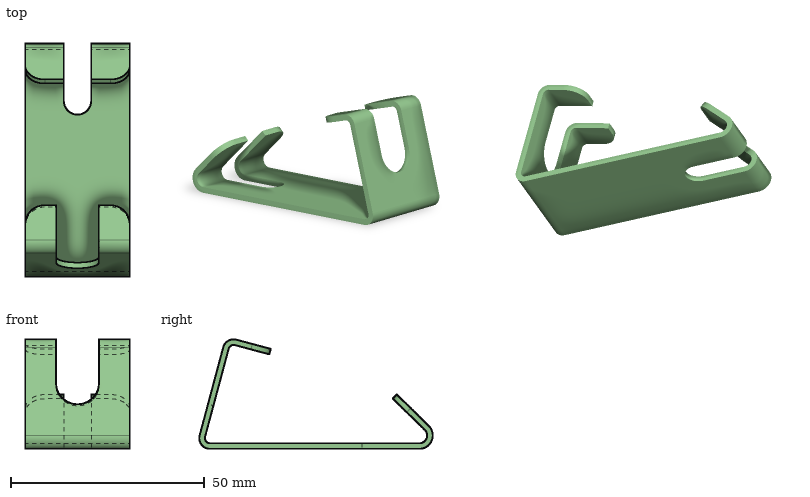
import cadquery as cq
import math

width = 27.0
thickness = 1.5
base_flat = 54.05

wall_lean = 15.0
wall_length = 30.0
lip_length = 12.0
front_bend_radius = 2.8

rear_rise = 44.4
rear_flat = 11.6
rear_bend_radius = 3.5

tip_corner_radius = 5.0

front_slot_width = 11.0
front_slot_floor = 12.0
rear_slot_width = 7.0
rear_slot_depth = 18.4

down_angle = 270.0
wall_normal = 180.0 - wall_lean
lip_normal = wall_normal - 90.0
rear_normal = 90.0 - rear_rise

base_corner_setback = front_bend_radius * math.tan(math.radians((90.0 + wall_lean) / 2))
wall_flat = wall_length - base_corner_setback - front_bend_radius
lip_flat = lip_length - front_bend_radius


def step(start, distance, angle):
    """Point reached from start by moving a distance at an angle in the YZ plane."""
    direction = math.radians(angle)
    return (start[0] + distance * math.cos(direction), start[1] + distance * math.sin(direction))


front_centre = (0.0, front_bend_radius)
top_centre = step(front_centre, wall_flat, wall_normal - 90.0)
rear_centre = (base_flat, rear_bend_radius)

lip_end = step(top_centre, lip_flat, lip_normal - 90.0)
rear_end = step(rear_centre, rear_flat, rear_normal + 90.0)


def bend(outline, centre, radius, start_angle, end_angle):
    """Draw a line to the start of a bend, then its arc."""
    middle = step(centre, radius, (start_angle + end_angle) / 2)
    outline = outline.lineTo(*step(centre, radius, start_angle))
    return outline.threePointArc(middle, step(centre, radius, end_angle))


def make_strip():
    """Bent strip of constant thickness, centred on X = 0."""
    front_inside = front_bend_radius - thickness
    rear_inside = rear_bend_radius - thickness
    rear_turned = rear_normal + 360.0

    outline = cq.Workplane("YZ").moveTo(*step(lip_end, front_bend_radius, lip_normal))
    outline = bend(outline, top_centre, front_bend_radius, lip_normal, wall_normal)
    outline = bend(outline, front_centre, front_bend_radius, wall_normal, down_angle)
    outline = bend(outline, rear_centre, rear_bend_radius, down_angle, rear_turned)
    outline = outline.lineTo(*step(rear_end, rear_bend_radius, rear_normal))
    outline = outline.lineTo(*step(rear_end, rear_inside, rear_normal))
    outline = bend(outline, rear_centre, rear_inside, rear_turned, down_angle)
    outline = bend(outline, front_centre, front_inside, down_angle, wall_normal)
    outline = bend(outline, top_centre, front_inside, wall_normal, lip_normal)
    outline = outline.lineTo(*step(lip_end, front_inside, lip_normal))
    return outline.close().extrude(width / 2, both=True)


def round_tip_corners(body):
    """Round both outer corners of the lip and of the rear flange."""
    lip_tip = step(lip_end, front_bend_radius - thickness / 2, lip_normal)
    rear_tip = step(rear_end, rear_bend_radius - thickness / 2, rear_normal)
    for tip in (lip_tip, rear_tip):
        for side in (-1, 1):
            corner = (side * width / 2, tip[0], tip[1])
            body = body.edges(cq.selectors.NearestToPointSelector(corner)).fillet(tip_corner_radius)
    return body


def slot_cutter(plane, slot_width, length, depth):
    """Open slot along local +Y with a round end touching the plane's origin."""
    radius = slot_width / 2
    return (
        cq.Workplane(plane)
        .moveTo(radius, length)
        .lineTo(radius, radius)
        .threePointArc((0, 0), (-radius, radius))
        .lineTo(-radius, length)
        .close()
        .extrude(depth)
    )


def front_slot():
    """Slot square to the wall, running up through the wall, top bend and lip."""
    wall_start = step(front_centre, front_bend_radius, wall_normal)
    floor = step(wall_start, front_slot_floor - base_corner_setback, wall_normal - 90.0)
    inward = step((0, 0), 1.0, wall_normal + 180.0)
    plane = cq.Plane(origin=(0, *floor), xDir=(-1, 0, 0), normal=(0, *inward))
    return slot_cutter(plane, front_slot_width, wall_length, lip_length + thickness)


def rear_slot():
    """Vertical slot running back through the base, rear bend and rear flange."""
    rear_edge = base_flat + rear_bend_radius
    flange_top = step(rear_end, rear_bend_radius, rear_normal)[1]
    plane = cq.Plane(origin=(0, rear_edge - rear_slot_depth, 0), xDir=(1, 0, 0), normal=(0, 0, 1))
    return slot_cutter(plane, rear_slot_width, rear_slot_depth + thickness, flange_top + thickness)


result = round_tip_corners(make_strip()).cut(front_slot()).cut(rear_slot())